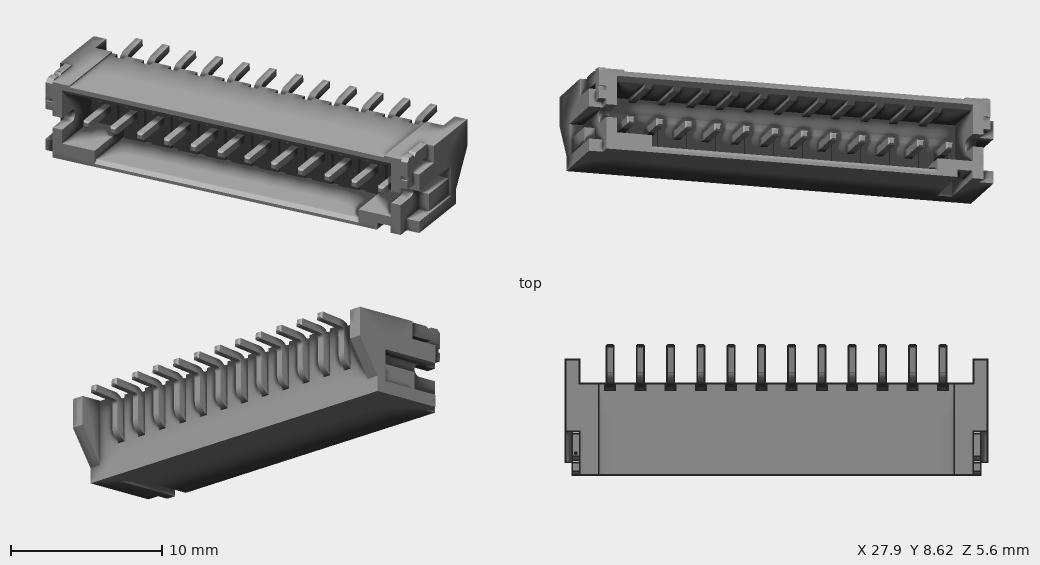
import cadquery as cq
import math


LENGTH = 27.9
TOTAL_DEPTH = 8.62
TOTAL_HEIGHT = 5.6

CORE_DEPTH = 6.05
CORE_HEIGHT = 5.38
END_HEIGHT = 5.5
CORE_TOP_HALF = 11.75
WING_DEPTH = 7.65
WING_THICKNESS = 0.95
WING_FOOT_Z = 1.05
WING_SHOULDER_Z = 3.52
WING_INNER_X = LENGTH / 2 - WING_THICKNESS

CAVITY_HALF = 12.28
CAVITY_DEPTH = 4.18
CEILING_Z = 4.75
CEILING_CHAMFER = 0.3
STEP_Z = 1.17
FLOOR_HALF = 9.85
FLOOR_Z = 0.47
FLOOR_CHAMFER = 0.25

SLOT_BOTTOM_Z = 2.18
SLOT_TOP_Z = 3.05
SLOT_DEPTH = 1.85

FRONT_RELIEF_DEPTH = 0.85
LEDGE_Z = 4.27
LEDGE_DEPTH = 2.9
LATCH_BOTTOM_Z = 0.85
LATCH_REAR_Y = 5.35
LATCH_BLOCK_FRONT_Y = 2.57
LATCH_BLOCK_TOP_Z = 2.1
LATCH_BLOCK_SETBACK = 0.2

CHANNEL_LEFT_X = 11.22
CHANNEL_WIDTH = 1.03
CHANNEL_HEIGHT = 0.5
WINDOW_FRONT_Y = 2.05
WINDOW_REAR_Y = 4.75

PIN_COUNT = 12
PIN_SPAN = 21.99
PITCH = PIN_SPAN / (PIN_COUNT - 1)
PIN_WIDTH = 0.5
PIN_Z = 2.4
PIN_FRONT_Y = 0.98
PIN_RISER_Y = 6.33
LOWER_BEND_RADIUS = 0.75
UPPER_BEND_RADIUS = 0.53
TAIL_TILT = math.radians(6)
TIP_CHAMFER = 0.1

BOSS_WIDTH = 1.62
BOSS_TOP_Z = 3.68
BOSS_LENGTH = 0.2
BOSS_SIDE_DRAFT = 0.08
BOSS_TOP_DRAFT = 0.5
NOTCH_WIDTH = 0.7
NOTCH_DEPTH = 0.45
RIB_WIDTH = 0.5
RIB_DROP = 0.25

TAB_THICKNESS = 0.5
TAB_ARM_BOTTOM_Z = 4.7
TAB_LEG_BOTTOM_Z = 3.43
TAB_FRONT_CHAMFER = 0.25
TAB_REAR_CHAMFER = 0.17
TAB_V_FRONT_Y = 0.8
TAB_V_ROOT_Y = 0.98
TAB_V_REAR_Y = 1.25
TAB_V_DEPTH = 0.22
TAB_GROOVE_BOTTOM_Z = 4.02
TAB_GROOVE_TOP_Z = 4.3
TAB_GROOVE_DEPTH = 0.15

DIMPLE_Y = 1.45
DIMPLE_DIAMETER = 0.15
DIMPLE_DEPTH = 0.15

pin_xs = [(i - (PIN_COUNT - 1) / 2) * PITCH for i in range(PIN_COUNT)]


def box(x0, x1, y0, y1, z0, z1):
    return cq.Workplane("XY").box(x1 - x0, y1 - y0, z1 - z0, centered=False).translate((x0, y0, z0))


def prism(yz_points, x0, x1):
    """Closed outline of (y, z) points, extruded along X from x0 to x1."""
    return cq.Workplane("YZ").polyline(yz_points).close().extrude(x1 - x0).translate((x0, 0, 0))


def mirrored(shape):
    return shape.mirror("YZ")


def make_block():
    """Body with a lowered middle top and a rear wing at each end."""
    end_half = LENGTH / 2
    block = box(-end_half, end_half, 0, CORE_DEPTH, 0, END_HEIGHT)
    block = block.cut(box(-CORE_TOP_HALF, CORE_TOP_HALF, 0, CORE_DEPTH, CORE_HEIGHT, END_HEIGHT))
    wing = prism(
        [
            (0, END_HEIGHT),
            (0, WING_FOOT_Z),
            (CORE_DEPTH, WING_FOOT_Z),
            (WING_DEPTH, WING_SHOULDER_Z),
            (WING_DEPTH, END_HEIGHT),
        ],
        -end_half,
        -WING_INNER_X,
    )
    return block.union(wing).union(mirrored(wing))


def make_cavity():
    """Empty space of the mating cavity, with chamfered ceiling and floor edges."""
    upper = prism(
        [
            (0, STEP_Z),
            (CAVITY_DEPTH, STEP_Z),
            (CAVITY_DEPTH, CEILING_Z),
            (CEILING_CHAMFER, CEILING_Z),
            (0, CEILING_Z + CEILING_CHAMFER),
        ],
        -CAVITY_HALF,
        CAVITY_HALF,
    )
    lower = prism(
        [
            (0, STEP_Z),
            (0, FLOOR_Z - FLOOR_CHAMFER),
            (FLOOR_CHAMFER, FLOOR_Z),
            (CAVITY_DEPTH, FLOOR_Z),
            (CAVITY_DEPTH, STEP_Z),
        ],
        -FLOOR_HALF,
        FLOOR_HALF,
    )
    return upper.union(lower)


def make_key_slot():
    """Slot with a round inner end, open at the front, across the whole length."""
    radius = (SLOT_TOP_Z - SLOT_BOTTOM_Z) / 2
    return (
        cq.Workplane("YZ")
        .moveTo(0, SLOT_BOTTOM_Z)
        .lineTo(SLOT_DEPTH - radius, SLOT_BOTTOM_Z)
        .threePointArc((SLOT_DEPTH, SLOT_BOTTOM_Z + radius), (SLOT_DEPTH - radius, SLOT_TOP_Z))
        .lineTo(0, SLOT_TOP_Z)
        .close()
        .extrude(LENGTH / 2, both=True)
    )


def make_side_recesses():
    """Space removed from the outer side at the -X end."""
    outer = -LENGTH / 2
    inner = -WING_INNER_X
    front_relief = box(outer, inner, 0, FRONT_RELIEF_DEPTH, 0, END_HEIGHT)
    tab_seat = box(outer, inner, 0, LEDGE_DEPTH, LEDGE_Z, END_HEIGHT)
    latch_pocket = box(outer, inner, 0, LATCH_REAR_Y, LATCH_BOTTOM_Z, SLOT_TOP_Z)
    latch_block = box(
        outer + LATCH_BLOCK_SETBACK,
        inner,
        LATCH_BLOCK_FRONT_Y,
        LATCH_REAR_Y,
        LATCH_BOTTOM_Z,
        LATCH_BLOCK_TOP_Z,
    )
    return latch_pocket.cut(latch_block).union(front_relief).union(tab_seat)


def make_channel():
    """Space of the underside channel and of the window at its rear end."""
    right_x = CHANNEL_LEFT_X + CHANNEL_WIDTH
    channel = box(CHANNEL_LEFT_X, right_x, 0, WINDOW_REAR_Y, 0, CHANNEL_HEIGHT)
    window = box(CHANNEL_LEFT_X, right_x, WINDOW_FRONT_Y, WINDOW_REAR_Y, 0, STEP_Z)
    return channel.union(window)


def make_boss(x):
    """Drafted boss on the cavity's back wall, around one pin."""
    floor_z = FLOOR_Z if abs(x) < FLOOR_HALF else STEP_Z
    front_y = CAVITY_DEPTH - BOSS_LENGTH
    half = BOSS_WIDTH / 2
    boss = prism(
        [
            (front_y, floor_z),
            (CAVITY_DEPTH, floor_z),
            (CAVITY_DEPTH, BOSS_TOP_Z),
            (front_y, BOSS_TOP_Z - BOSS_TOP_DRAFT),
        ],
        x - half,
        x + half,
    )
    plan = [
        (x - half, CAVITY_DEPTH),
        (x + half, CAVITY_DEPTH),
        (x + half - BOSS_SIDE_DRAFT, front_y),
        (x - half + BOSS_SIDE_DRAFT, front_y),
    ]
    return boss.intersect(cq.Workplane("XY").polyline(plan).close().extrude(BOSS_TOP_Z))


def make_notch(x):
    """Space of the rear notch that one pin leaves the housing through."""
    half = NOTCH_WIDTH / 2
    return box(x - half, x + half, CORE_DEPTH - NOTCH_DEPTH, CORE_DEPTH, PIN_Z - PIN_WIDTH / 2, CORE_HEIGHT)


def make_rib(x):
    """Ceiling rib with a 45 degree front."""
    return prism(
        [
            (CEILING_CHAMFER, CEILING_Z),
            (CEILING_CHAMFER + RIB_DROP, CEILING_Z - RIB_DROP),
            (CAVITY_DEPTH, CEILING_Z - RIB_DROP),
            (CAVITY_DEPTH, CEILING_Z),
        ],
        x - RIB_WIDTH / 2,
        x + RIB_WIDTH / 2,
    )


def make_pin():
    """Square pin at x = 0: straight mating end, upright riser and a tail that rises slightly."""
    sine = math.sin(TAIL_TILT)
    cosine = math.cos(TAIL_TILT)
    half = PIN_WIDTH / 2
    tail_y = TOTAL_DEPTH - (half - TIP_CHAMFER) * sine
    tail_z = TOTAL_HEIGHT + TIP_CHAMFER * sine - half * cosine
    bend_y = PIN_RISER_Y + UPPER_BEND_RADIUS * (1 - sine)
    bend_z = tail_z - (tail_y - bend_y) * math.tan(TAIL_TILT)
    riser_top_z = bend_z - UPPER_BEND_RADIUS * cosine
    path = (
        cq.Workplane("YZ")
        .moveTo(PIN_FRONT_Y, PIN_Z)
        .lineTo(PIN_RISER_Y - LOWER_BEND_RADIUS, PIN_Z)
        .tangentArcPoint((PIN_RISER_Y, PIN_Z + LOWER_BEND_RADIUS), relative=False)
        .lineTo(PIN_RISER_Y, riser_top_z)
        .tangentArcPoint((bend_y, bend_z), relative=False)
        .lineTo(tail_y, tail_z)
    )
    section = cq.Workplane("XZ", origin=(0, PIN_FRONT_Y, PIN_Z)).rect(PIN_WIDTH, PIN_WIDTH)
    return section.sweep(path).faces("<Y or >Y").chamfer(TIP_CHAMFER)


def make_housing():
    housing = make_block().cut(make_cavity()).cut(make_key_slot())
    recesses = make_side_recesses()
    housing = housing.cut(recesses).cut(mirrored(recesses))
    housing = housing.cut(make_channel())
    pin = make_pin()
    for x in pin_xs:
        housing = housing.union(make_boss(x)).cut(make_notch(x)).union(pin.translate((x, 0, 0)))
    for x in pin_xs[:-1]:
        housing = housing.union(make_rib(x + PITCH / 2))
    return housing


def make_tab():
    """L-shaped solder tab at the -X end."""
    return prism(
        [
            (0, TAB_LEG_BOTTOM_Z),
            (FRONT_RELIEF_DEPTH, TAB_LEG_BOTTOM_Z),
            (FRONT_RELIEF_DEPTH, TAB_ARM_BOTTOM_Z),
            (LEDGE_DEPTH, TAB_ARM_BOTTOM_Z),
            (LEDGE_DEPTH, TOTAL_HEIGHT - TAB_REAR_CHAMFER),
            (LEDGE_DEPTH - TAB_REAR_CHAMFER, TOTAL_HEIGHT),
            (TAB_V_REAR_Y, TOTAL_HEIGHT),
            (TAB_V_ROOT_Y, TOTAL_HEIGHT - TAB_V_DEPTH),
            (TAB_V_FRONT_Y, TOTAL_HEIGHT),
            (TAB_FRONT_CHAMFER, TOTAL_HEIGHT),
            (0, TOTAL_HEIGHT - TAB_FRONT_CHAMFER),
            (0, TAB_GROOVE_TOP_Z),
            (TAB_GROOVE_DEPTH, TAB_GROOVE_TOP_Z),
            (TAB_GROOVE_DEPTH, TAB_GROOVE_BOTTOM_Z),
            (0, TAB_GROOVE_BOTTOM_Z),
        ],
        -WING_INNER_X - TAB_THICKNESS,
        -WING_INNER_X,
    )


def make_tab_dimple():
    """Space of the small round dimple in the top of the -X tab."""
    middle_x = -WING_INNER_X - TAB_THICKNESS / 2
    return (
        cq.Workplane("XY", origin=(middle_x, DIMPLE_Y, TOTAL_HEIGHT))
        .circle(DIMPLE_DIAMETER / 2)
        .extrude(-DIMPLE_DEPTH)
    )


housing = make_housing()
left_tab = make_tab().cut(make_tab_dimple())
right_tab = mirrored(make_tab())

result = cq.Compound.makeCompound([housing.val(), left_tab.val(), right_tab.val()])